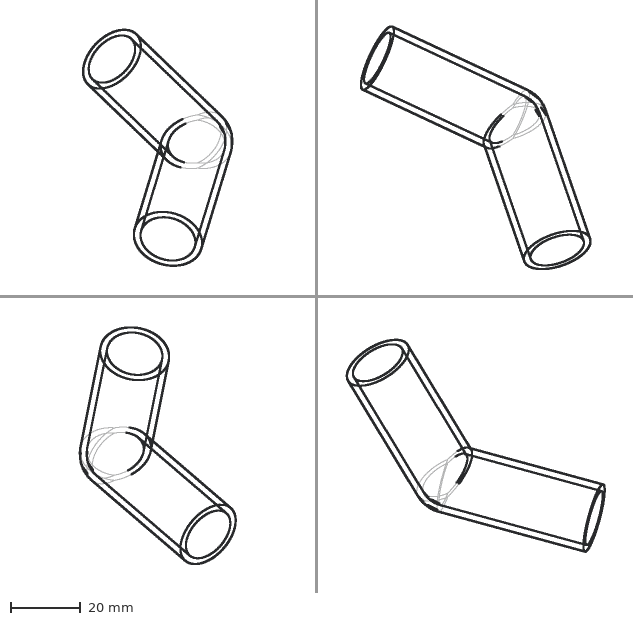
import cadquery as cq
import math

overall_length = 82.2
outer_diameter = 20.0
bore_diameter = 16.0
bend_angle = 45.0

outer_radius = outer_diameter / 2
bore_radius = bore_diameter / 2
bend_cos = math.cos(math.radians(bend_angle))
bend_sin = math.sin(math.radians(bend_angle))

leg_length = (overall_length - outer_radius * bend_sin) / (1 + bend_cos)

elbow = cq.Vector(0, 0, 0)
first_direction = cq.Vector(-1, 0, 0)
second_direction = cq.Vector(bend_cos, -bend_sin, 0)


def bent_rod(radius):
    """Two round legs leaving the elbow, joined by a ball of the same radius."""
    ball = cq.Workplane("XY").sphere(radius)
    first_leg = cq.Solid.makeCylinder(radius, leg_length, elbow, first_direction)
    second_leg = cq.Solid.makeCylinder(radius, leg_length, elbow, second_direction)
    return ball.union(cq.Workplane(first_leg)).union(cq.Workplane(second_leg))


result = bent_rod(outer_radius).cut(bent_rod(bore_radius))